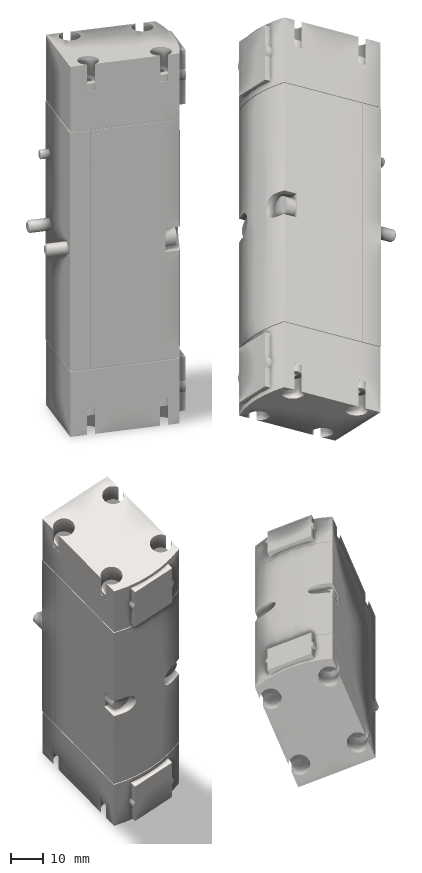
import cadquery as cq
import math

LENGTH = 126.2
WIDTH = 26.0
SIDE_DEPTH = 35.7
CROWN_DEPTH = 37.9
CAP_LENGTH = 22.1

MIDDLE_LENGTH = LENGTH - 2 * CAP_LENGTH
BASE_DEPTH = 6.5
CAP_SEAM_WIDTH = 0.4
SEAM_DEPTH = 0.3
BASE_SEAM_WIDTH = 0.19
FRONT_PAD = 0.1

SCREW_X = 9.8
SCREW_Y = (6.8, 30.5)
SCREW_BORE_DIAMETER = 6.8
SCREW_BORE_DEPTH = 9.0
SCREW_HEAD_DIAMETER = 6.3
SCREW_HEAD_HEIGHT = 2.4
SCREW_SOCKET_SIZE = 2.4
SCREW_SOCKET_DEPTH = 1.3

BOLT_X = 9.5
BOLT_RECESS_WIDTH = 8.1
BOLT_RECESS_FLOOR = 31.0
BOLT_HEAD_DIAMETER = 7.0
BOLT_HEAD_HEIGHT = 3.7
BOLT_DIAMETER = 4.0
BOLT_REACH = 7.1
BOLT_TIP_CHAMFER = 0.5
BOLT_HOLE_DIAMETER = 4.5
BOLT_HOLE_DEPTH = 1.3

PIN_X = -BOLT_X
PIN_Z = 24.1
PIN_DIAMETER = 3.0
PIN_REACH = 3.2
PIN_CHAMFER = 0.3

PLATE_WIDTH = 14.9
PLATE_END_MARGIN = 1.5
PLATE_LENGTH = 18.5
PLATE_TOP = 39.2
PLATE_ROOT = 36.0
LOBE_DIAMETER = 6.0
LOBE_X = 5.0
LOBE_END_DISTANCE = 10.0


def crowned_block(length, inset=0.0):
    """Block centred on Z with flat sides, moved in by inset, and an arched rear."""
    half = WIDTH / 2 - inset
    return (
        cq.Workplane("XY", origin=(0, 0, -length / 2))
        .moveTo(-half, inset)
        .lineTo(half, inset)
        .lineTo(half, SIDE_DEPTH - inset)
        .threePointArc((0, CROWN_DEPTH - inset), (-half, SIDE_DEPTH - inset))
        .close()
        .extrude(length)
    )


def y_cylinder(x, z, diameter, y_start, y_end):
    """Round bar parallel to Y."""
    return (
        cq.Workplane("XZ", origin=(x, y_end, z))
        .circle(diameter / 2)
        .extrude(y_end - y_start)
    )


def box(x_size, y_start, y_end, z_size):
    """Box centred on X and Z that spans y_start to y_end."""
    middle = (0, (y_start + y_end) / 2, 0)
    return cq.Workplane("XY", origin=middle).box(x_size, y_end - y_start, z_size)


def both_ends(shape):
    """The shape together with its mirror image at the other end of the part."""
    return shape.union(shape.mirror("XY"))


def make_body():
    """Crowned block with narrow seams around the middle section and a slightly proud front pad."""
    core = crowned_block(LENGTH, SEAM_DEPTH)
    cap_seam = box(2 * WIDTH, -FRONT_PAD, 2 * CROWN_DEPTH, CAP_SEAM_WIDTH)
    cap_seam = cap_seam.translate((0, 0, (MIDDLE_LENGTH - CAP_SEAM_WIDTH) / 2))
    base_seam = box(2 * WIDTH, BASE_DEPTH, BASE_DEPTH + BASE_SEAM_WIDTH, MIDDLE_LENGTH)
    pad = box(WIDTH, -FRONT_PAD, BASE_DEPTH / 2, MIDDLE_LENGTH - 2 * CAP_SEAM_WIDTH)
    seams = both_ends(cap_seam).union(base_seam).cut(core)
    return crowned_block(LENGTH).cut(seams).union(pad)


def rear_plates():
    """Raised plates on the rear of both caps."""
    end = LENGTH / 2
    plate = box(PLATE_WIDTH, PLATE_ROOT, PLATE_TOP, PLATE_LENGTH)
    plate = plate.translate((0, 0, end - PLATE_END_MARGIN - PLATE_LENGTH / 2))
    for x in (-LOBE_X, LOBE_X):
        plate = plate.union(y_cylinder(x, end - LOBE_END_DISTANCE, LOBE_DIAMETER, PLATE_ROOT, PLATE_TOP))
    return both_ends(plate)


def screw_points():
    """Screw centres on an end face."""
    return [(x, y) for x in (-SCREW_X, SCREW_X) for y in SCREW_Y]


def screw_bores():
    """Bores for the cap screws; they break out through the side walls as narrow slots."""
    bores = (
        cq.Workplane("XY", origin=(0, 0, LENGTH / 2 - SCREW_BORE_DEPTH))
        .pushPoints(screw_points())
        .circle(SCREW_BORE_DIAMETER / 2)
        .extrude(SCREW_BORE_DEPTH)
    )
    return both_ends(bores)


def screw_heads():
    """Screw heads with hexagon sockets, seated on the bore floors."""
    socket_corners = SCREW_SOCKET_SIZE / math.cos(math.pi / 6)
    heads = (
        cq.Workplane("XY", origin=(0, 0, LENGTH / 2 - SCREW_BORE_DEPTH))
        .pushPoints(screw_points())
        .circle(SCREW_HEAD_DIAMETER / 2)
        .extrude(SCREW_HEAD_HEIGHT)
    )
    for x, y in screw_points():
        socket = (
            cq.Workplane("XY", origin=(x, y, LENGTH / 2 - SCREW_BORE_DEPTH + SCREW_HEAD_HEIGHT))
            .polygon(6, socket_corners)
            .extrude(-SCREW_SOCKET_DEPTH)
            .rotate((x, y, 0), (x, y, 1), 90)
        )
        heads = heads.cut(socket)
    return both_ends(heads)


def bolt_cavity(side):
    """Recess open to the rear and to one side, with the clearance hole at the front."""
    x = side * BOLT_X
    recess = y_cylinder(x, 0, BOLT_RECESS_WIDTH, BOLT_RECESS_FLOOR, PLATE_TOP)
    opening = box(BOLT_RECESS_WIDTH, BOLT_RECESS_FLOOR, PLATE_TOP, BOLT_RECESS_WIDTH)
    opening = opening.translate((x + side * BOLT_RECESS_WIDTH / 2, 0, 0))
    hole = y_cylinder(x, 0, BOLT_HOLE_DIAMETER, -FRONT_PAD, BOLT_HOLE_DEPTH)
    return recess.union(opening).union(hole)


def bolt(side):
    """Bolt head on the recess floor and the shank that leaves the front face."""
    x = side * BOLT_X
    head = y_cylinder(x, 0, BOLT_HEAD_DIAMETER, BOLT_RECESS_FLOOR, BOLT_RECESS_FLOOR + BOLT_HEAD_HEIGHT)
    shank = y_cylinder(x, 0, BOLT_DIAMETER, -BOLT_REACH, BOLT_RECESS_FLOOR)
    return head.union(shank.faces("<Y").chamfer(BOLT_TIP_CHAMFER))


def locating_pin():
    """Small pin with a chamfered tip, rooted in the base."""
    pin = y_cylinder(PIN_X, PIN_Z, PIN_DIAMETER, -PIN_REACH, BASE_DEPTH)
    return pin.faces("<Y").chamfer(PIN_CHAMFER)


result = make_body().union(rear_plates())
result = result.cut(screw_bores()).union(screw_heads())
for bolt_side in (-1, 1):
    result = result.cut(bolt_cavity(bolt_side)).union(bolt(bolt_side))
result = result.union(locating_pin())